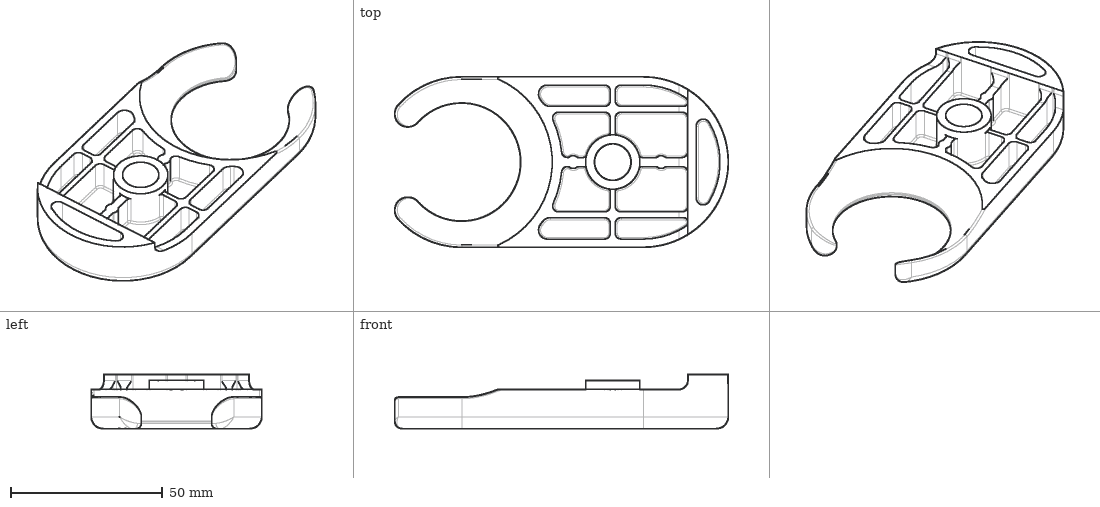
import cadquery as cq
import math

half_width = 28.225
end_center_x = 60.0
plate_top = 13.0
bottom_round = 4.0

lip_top = 18.0
lip_face_x = 74.8
lip_root_round = 3.0

seat_hole_radius = 19.5
seat_cone_offset = 17.0
seat_rim_round = 5.0
seat_hole_round = 1.9
fork_edge_round = 0.5
fork_opening_angle = 41.9

boss_x = 50.0
boss_radius = 9.0
boss_top = 16.0
bore_radius = 6.0

floor_z = 2.5
floor_round = 0.6
corner_round = 2.0
seat_corner_round = 3.0
far_end_round = 1.45
boss_corner_round = 1.0
outer_wall = 2.75
spine_half = 1.5
cross_half = 0.8
side_rib_inner_y = 16.5
side_rib_outer_y = 18.4
seat_wall_radius = 33.25
pad_radius = 2.1
pad_blend = 0.5
pad_offsets = (-13.1, 16.0)
lip_pocket_x = 77.6
lip_pocket_corner_round = 2.3
pocket_end_overlap = 0.04

selection_slack = 0.05
overshoot = 1.0

pocket_end_x = lip_face_x + pocket_end_overlap
pocket_radius = half_width - outer_wall
fork_mid_radius = (seat_hole_radius + half_width) / 2
fork_tip_radius = (half_width - seat_hole_radius) / 2
seat_hole_top = seat_hole_radius - seat_cone_offset


def cylinder(x, radius, bottom, top, y=0):
    return cq.Workplane("XY", origin=(x, y, bottom)).circle(radius).extrude(top - bottom)


def box(x_min, x_max, y_min, y_max, bottom, top):
    return cq.Workplane("XY").box(
        x_max - x_min, y_max - y_min, top - bottom, centered=False
    ).translate((x_min, y_min, bottom))


def fork_tip_center(side):
    angle = math.radians(fork_opening_angle)
    return -fork_mid_radius * math.cos(angle), side * fork_mid_radius * math.sin(angle)


def make_blank():
    """Stadium-shaped block with its bottom edge rounded."""
    blank = (
        cq.Workplane("XY")
        .center(end_center_x / 2, 0)
        .slot2D(end_center_x + 2 * half_width, 2 * half_width)
        .extrude(lip_top)
    )
    return blank.faces("<Z").edges().fillet(bottom_round)


def make_step_cutter():
    """Space above the plate, up to the face of the lip."""
    reach = 2 * half_width
    cutter = box(-reach, lip_face_x, -reach, reach, plate_top, 2 * lip_top)
    return cutter.edges("|Y").edges(">X and <Z").fillet(lip_root_round)


def make_seat_cutter():
    """Hole opening into a cone that runs past the top of the part."""
    cone_top = lip_top + overshoot
    return (
        cq.Workplane("XZ")
        .moveTo(0, -overshoot)
        .lineTo(seat_hole_radius, -overshoot)
        .lineTo(seat_hole_radius, seat_hole_top)
        .lineTo(cone_top + seat_cone_offset, cone_top)
        .lineTo(0, cone_top)
        .close()
        .revolve(360, (0, 0, 0), (0, 1, 0))
    )


def make_seat_rim_cutter():
    """Plug that leaves a round between the cone and the plate top."""
    sharp_radius = plate_top + seat_cone_offset
    tangent = seat_rim_round * math.tan(math.radians(22.5))
    drop = tangent * math.sin(math.radians(45))
    inner_radius = sharp_radius - drop
    outer_radius = sharp_radius + tangent
    mid_angle = math.radians(112.5)
    arc_mid = (
        outer_radius + seat_rim_round * math.cos(mid_angle),
        plate_top - seat_rim_round + seat_rim_round * math.sin(mid_angle),
    )
    return (
        cq.Workplane("XZ")
        .moveTo(0, plate_top - drop)
        .lineTo(inner_radius, plate_top - drop)
        .threePointArc(arc_mid, (outer_radius, plate_top))
        .lineTo(0, plate_top)
        .close()
        .revolve(360, (0, 0, 0), (0, 1, 0))
    )


def make_fork_opening():
    """Wedge between the fork tips."""
    x, y = fork_tip_center(1)
    reach = 2
    return (
        cq.Workplane("XY", origin=(0, 0, -overshoot))
        .polyline([(0, 0), (reach * x, reach * y), (reach * x, -reach * y)])
        .close()
        .extrude(lip_top + 2 * overshoot)
    )


def make_fork_tip(side):
    x, y = fork_tip_center(side)
    return cylinder(x, fork_tip_radius, 0, lip_top, y)


def round_fork(body):
    """Round the inner bottom edge and the top edge all around the fork."""
    inner_bottom = cq.selectors.NearestToPointSelector((0, 0, 0))
    body = body.edges(inner_bottom).fillet(seat_hole_round)
    rim_z = half_width - seat_cone_offset
    fork_rim = cq.selectors.BoxSelector(
        (-half_width, -half_width - selection_slack, rim_z - selection_slack),
        (selection_slack, half_width + selection_slack, rim_z + selection_slack),
        boundingbox=True,
    )
    return body.edges(fork_rim).fillet(fork_edge_round)


def make_body():
    blank = make_blank()
    body = blank.cut(make_fork_opening())
    for side in (-1, 1):
        body = body.union(make_fork_tip(side).intersect(blank))
    body = round_fork(body.cut(make_seat_cutter()))
    body = body.cut(make_step_cutter()).cut(make_seat_rim_cutter())
    return body.union(cylinder(boss_x, boss_radius, bottom_round, boss_top))


def mirrored(pocket):
    return pocket.union(pocket.mirror("XZ"))


def round_floor(pocket):
    return pocket.faces("<Z").edges().fillet(floor_round)


def clear_of_seat(pocket):
    return pocket.cut(cylinder(0, seat_wall_radius, 0, lip_top))


def within_end_wall(pocket):
    """Keep the part of a pocket that lies inside the wall of the round end."""
    end = cylinder(end_center_x, pocket_radius, 0, lip_top)
    straight = box(0, end_center_x, -pocket_radius, pocket_radius, 0, lip_top)
    return pocket.intersect(end.union(straight))


def make_side_pockets():
    near = box(0, boss_x - cross_half, side_rib_outer_y, pocket_radius, floor_z, lip_top)
    near = clear_of_seat(near)
    near = near.edges("|Z and >X").fillet(corner_round)
    near = near.edges("|Z and (<X or (<Y and (not >X)))").fillet(seat_corner_round)
    far = box(boss_x + cross_half, pocket_end_x, side_rib_outer_y, pocket_radius, floor_z, lip_top)
    far = within_end_wall(far)
    far = far.edges("|Z and <X").fillet(corner_round)
    far = far.edges("|Z and >X").fillet(far_end_round)
    return mirrored(round_floor(near)).union(mirrored(round_floor(far)))


def upright_edges_near(x, radius):
    """Selector for the full-height edges touching an upright cylinder."""
    reach = radius + selection_slack
    upright = cq.StringSyntaxSelector("|Z")
    around = cq.selectors.BoxSelector((x - reach, -reach, 0), (x + reach, reach, lip_top))
    return upright & around


def make_inner_pocket(x_min, x_max, pad_offset):
    """Pocket between the spine, the cross rib, a side rib and the boss."""
    pocket = box(x_min, x_max, spine_half, side_rib_inner_y, floor_z, lip_top)
    pocket = clear_of_seat(pocket).edges("|Z").fillet(corner_round)
    pocket = pocket.cut(cylinder(boss_x, boss_radius, 0, lip_top))
    pocket = pocket.edges(upright_edges_near(boss_x, boss_radius)).fillet(boss_corner_round)
    pad_x = boss_x + pad_offset
    pocket = pocket.cut(cylinder(pad_x, pad_radius, 0, lip_top))
    pocket = pocket.edges(upright_edges_near(pad_x, pad_radius)).fillet(pad_blend)
    return round_floor(pocket)


def make_inner_pockets():
    near = make_inner_pocket(0, boss_x - cross_half, pad_offsets[0])
    far = make_inner_pocket(boss_x + cross_half, pocket_end_x, pad_offsets[1])
    return mirrored(near).union(mirrored(far))


def make_lip_pocket():
    pocket = box(lip_pocket_x, 2 * lip_pocket_x, -pocket_radius, pocket_radius, floor_z, lip_top)
    pocket = within_end_wall(pocket).edges("|Z").fillet(lip_pocket_corner_round)
    return round_floor(pocket)


result = (
    make_body()
    .cut(make_side_pockets())
    .cut(make_inner_pockets())
    .cut(make_lip_pocket())
    .cut(cylinder(boss_x, bore_radius, -overshoot, lip_top))
)